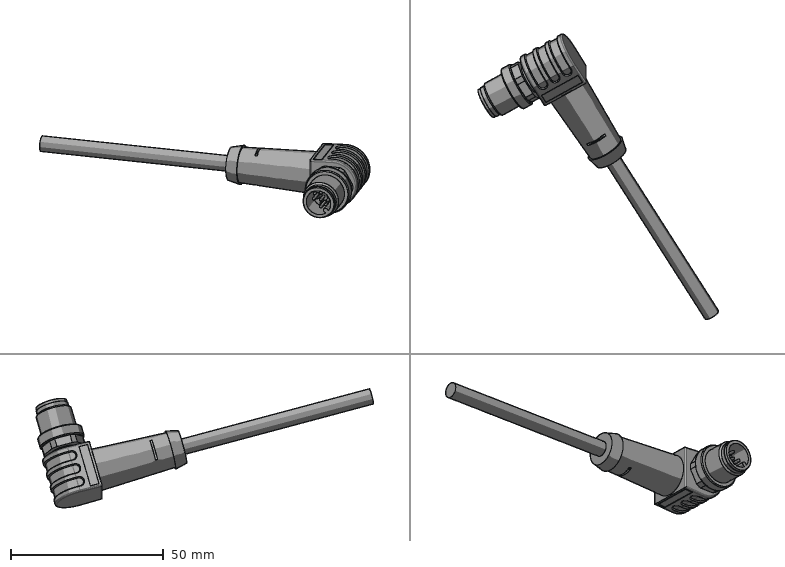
import cadquery as cq
import math


overall_length = 109.67
overall_depth = 33.5

housing_radius = 7.985
housing_half_width = 8.0
housing_left_x = -8.0
tangent_angle = 3.6
housing_edge_radius = 0.5

label_length = 13.9
label_width = 2.9
label_center_x = -5.2
label_depth = 0.2
label_cut_height = 1.0

groove_pitch = 4.6
groove_count = 3
groove_outer_width = 3.3
groove_floor_width = 2.7
groove_depth = 0.5
groove_clearance = 1.0
groove_end_x = -0.65

sleeve_end_x = -37.4
collar_x = -33.4
sleeve_end_radius = 5.55
collar_radius = 6.5
sleeve_neck_radius = 5.9
sleeve_root_radius = 7.0
notch_center_x = -27.7
notch_width = 0.7
notch_floor_z = 5.1
notch_cut_height = 2.0
cable_diameter = 5.2
cable_end_x = housing_radius - overall_length

neck_diameter = 9.3
hex_y = -9.25
hex_across_flats = 13.0
hex_corner_diameter = 14.0
ring_y = -12.0
ring_end_y = -15.6
ring_diameter = 15.0
ring_chamfer = 0.35
thread_end_y = -22.55
thread_diameter = 12.0
rim_diameter = 10.8
rim_end_y = -24.5
tip_diameter = 10.5
tip_y = housing_half_width - overall_depth

bore_diameter = 8.3
bore_floor_diameter = 7.6
bore_depth = 7.5
insert_diameter = 7.0
insert_height = 1.5
pocket_diameter = 2.3
pin_diameter = 1.0
pin_tip_radius = 0.49
pin_circle_radius = 2.4
pin_recess = 2.4
outer_pin_count = 4
key_width = 1.4
key_circle_radius = 3.4
key_angle = 45

bore_floor_y = tip_y + bore_depth


def make_housing():
    """Round-ended block with flats tangent to the round end."""
    tilt = math.radians(tangent_angle)
    tangent_x = -housing_radius * math.sin(tilt)
    tangent_z = housing_radius * math.cos(tilt)
    left_z = tangent_z - (tangent_x - housing_left_x) * math.tan(tilt)
    block = (
        cq.Workplane("XZ")
        .moveTo(housing_left_x, -left_z)
        .lineTo(tangent_x, -tangent_z)
        .threePointArc((housing_radius, 0), (tangent_x, tangent_z))
        .lineTo(housing_left_x, left_z)
        .close()
        .extrude(housing_half_width, both=True)
    )
    return block.faces("<Y or >Y").edges().fillet(housing_edge_radius)


def tilt_to_top_flat(shape):
    """Turn a shape about the Y axis from level to the slope of the top flat."""
    return shape.rotate((0, 0, 0), (0, 1, 0), -tangent_angle)


def make_label_recess():
    """Shallow rectangular cutter for the top flat."""
    recess = (
        cq.Workplane("XY", origin=(label_center_x, 0, housing_radius - label_depth))
        .rect(label_width, label_length)
        .extrude(label_cut_height)
    )
    return tilt_to_top_flat(recess)


def groove_half_profile(plane_x):
    """+Y half of the slope-sided groove section, in the plane at the given X."""
    floor_z = housing_radius - groove_depth
    mouth_z = housing_radius + groove_clearance
    return (
        cq.Workplane("YZ", origin=(plane_x, 0, 0))
        .moveTo(0, floor_z)
        .lineTo(groove_floor_width / 2, floor_z)
        .lineTo(groove_outer_width / 2, housing_radius)
        .lineTo(groove_outer_width / 2, mouth_z)
        .lineTo(0, mouth_z)
        .close()
    )


def make_groove_cutters():
    """Cutters for one groove: the wrap round the end, and a round-ended start on each flat."""
    wrap_half = groove_half_profile(0).revolve(180 + 2 * tangent_angle, (0, 0, 0), (1, 0, 0))
    wrap = tilt_to_top_flat(wrap_half.union(wrap_half.mirror("XZ")))
    straight_half = groove_half_profile(groove_end_x).extrude(-groove_end_x)
    straight = straight_half.union(straight_half.mirror("XZ"))
    rounded_end = groove_half_profile(groove_end_x).revolve(180, (0, 0, 0), (0, 1, 0))
    cutters = [wrap]
    for piece in (straight, rounded_end):
        upper = tilt_to_top_flat(piece)
        cutters.append(upper)
        cutters.append(upper.mirror("XY"))
    return cutters


def make_sleeve():
    """Tapered strain relief with a flared end collar, together with the cable."""
    cable_radius = cable_diameter / 2
    sleeve = (
        cq.Workplane("XY")
        .moveTo(cable_end_x, 0)
        .lineTo(cable_end_x, cable_radius)
        .lineTo(sleeve_end_x, cable_radius)
        .lineTo(sleeve_end_x, sleeve_end_radius)
        .lineTo(collar_x, collar_radius)
        .lineTo(collar_x, sleeve_neck_radius)
        .lineTo(housing_left_x, sleeve_root_radius)
        .lineTo(0, sleeve_root_radius)
        .lineTo(0, 0)
        .close()
        .revolve(360, (0, 0, 0), (1, 0, 0))
    )
    notch = (
        cq.Workplane("XY", origin=(notch_center_x, 0, notch_floor_z))
        .rect(notch_width, 2 * collar_radius)
        .extrude(notch_cut_height)
    )
    return sleeve.cut(notch).cut(notch.mirror("XY"))


def plug_cylinder(diameter, start_y, end_y):
    """Cylinder on the plug axis between two Y stations."""
    return cq.Workplane("XZ", origin=(0, start_y, 0)).circle(diameter / 2).extrude(start_y - end_y)


def plug_cone(start_diameter, end_diameter, start_y, end_y):
    """Cone frustum on the plug axis between two Y stations."""
    return (
        cq.Workplane("XZ", origin=(0, start_y, 0))
        .circle(start_diameter / 2)
        .workplane(offset=start_y - end_y)
        .circle(end_diameter / 2)
        .loft()
    )


def make_plug():
    """Plug body with a slightly tapered bore, carrying the contact insert and coding key."""
    neck = plug_cylinder(neck_diameter, 0, hex_y)
    hexagon = (
        cq.Workplane("XZ", origin=(0, hex_y, 0))
        .polygon(6, hex_across_flats, circumscribed=True)
        .extrude(hex_y - ring_y)
        .rotate((0, 0, 0), (0, 1, 0), 30)
        .intersect(plug_cylinder(hex_corner_diameter, hex_y, ring_y))
    )
    ring = plug_cylinder(ring_diameter, ring_y, ring_end_y).edges().chamfer(ring_chamfer)
    thread = plug_cylinder(thread_diameter, ring_end_y, thread_end_y)
    lead_length = (thread_diameter - rim_diameter) / 2
    lead_end_y = thread_end_y - lead_length
    lead = plug_cone(thread_diameter, rim_diameter, thread_end_y, lead_end_y)
    rim = plug_cylinder(rim_diameter, lead_end_y, rim_end_y)
    tip = plug_cylinder(tip_diameter, rim_end_y, tip_y)
    plug = neck.union(hexagon).union(ring).union(thread).union(lead).union(rim).union(tip)
    bore = plug_cone(bore_floor_diameter, bore_diameter, bore_floor_y, tip_y)
    return plug.cut(bore).union(make_insert()).union(make_key())


def radial_bar(width, center_x, start_y, end_y):
    """Bar along the plug axis, rounded towards it at center_x and reaching out to the bore wall."""
    outer_x = bore_diameter / 2
    web = (
        cq.Workplane("XZ", origin=((center_x + outer_x) / 2, start_y, 0))
        .rect(outer_x - center_x, width)
        .extrude(start_y - end_y)
    )
    return plug_cylinder(width, start_y, end_y).translate((center_x, 0, 0)).union(web)


def make_insert():
    """Contact carrier on the bore floor, with an open round-ended pocket at each outer pin."""
    insert_face_y = bore_floor_y - insert_height
    insert = plug_cylinder(insert_diameter, bore_floor_y, insert_face_y)
    pocket = radial_bar(pocket_diameter, pin_circle_radius, bore_floor_y, insert_face_y)
    for index in range(outer_pin_count):
        insert = insert.cut(pocket.rotate((0, 0, 0), (0, 1, 0), index * 360 / outer_pin_count))
    return insert


def make_key():
    """Round-nosed coding key along the full depth of the bore wall."""
    key = radial_bar(key_width, key_circle_radius, bore_floor_y, tip_y)
    return key.rotate((0, 0, 0), (0, 1, 0), key_angle)


def make_pins():
    """One central contact and a ring of contacts around it, all with rounded tips."""
    pin = plug_cylinder(pin_diameter, bore_floor_y, tip_y + pin_recess)
    pin = pin.faces("<Y").edges().fillet(pin_tip_radius)
    pins = pin
    for index in range(outer_pin_count):
        angle = 2 * math.pi * index / outer_pin_count
        x = pin_circle_radius * math.cos(angle)
        z = pin_circle_radius * math.sin(angle)
        pins = pins.union(pin.translate((x, 0, z)))
    return pins


housing = make_housing()
label_recess = make_label_recess()
housing = housing.cut(label_recess).cut(label_recess.mirror("XY"))
groove_cutters = make_groove_cutters()
for index in range(groove_count):
    groove_y = (index - (groove_count - 1) / 2) * groove_pitch
    for cutter in groove_cutters:
        housing = housing.cut(cutter.translate((0, groove_y, 0)))

result = housing.union(make_sleeve()).union(make_plug()).union(make_pins())